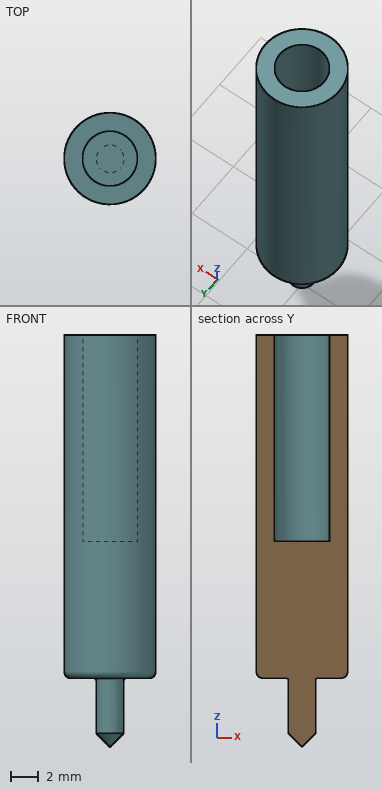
import cadquery as cq

total_length = 30.0
body_length = 25.0
body_diameter = 6.7
edge_radius = 0.5
bore_diameter = 4.0
bore_depth = 15.0
pin_diameter = 2.0
neck_fillet = 0.15

pin_radius = pin_diameter / 2
tip_height = pin_radius
body_bottom = total_length - body_length


def make_body():
    """Round barrel with a rounded lower edge and a blind bore in its top face."""
    barrel = (
        cq.Workplane("XY")
        .workplane(offset=body_bottom)
        .circle(body_diameter / 2)
        .extrude(body_length)
    )
    barrel = barrel.faces("<Z").edges().fillet(edge_radius)
    return barrel.faces(">Z").workplane().hole(bore_diameter, bore_depth)


def make_pin():
    """Pointed pin about Z, flared by a concave fillet where it meets the barrel."""
    return (
        cq.Workplane("XZ")
        .moveTo(0, 0)
        .lineTo(pin_radius, tip_height)
        .lineTo(pin_radius, body_bottom - neck_fillet)
        .radiusArc((pin_radius + neck_fillet, body_bottom), neck_fillet)
        .lineTo(0, body_bottom)
        .close()
        .revolve(360, (0, 0), (0, 1))
    )


result = make_body().union(make_pin())